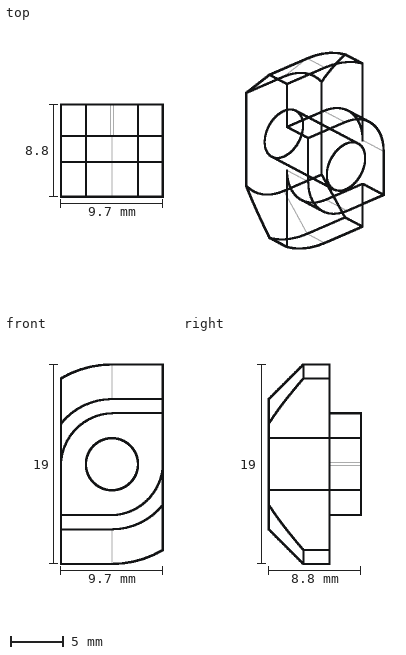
import cadquery as cq

width = 9.7
length = 19.0
depth = 8.8

boss_depth = 3.0
boss_corner_radius = 5.0
bevel = 3.3
bore_diameter = 4.94

half_width = width / 2
half_length = length / 2
head_depth = depth - boss_depth
front_half_length = half_length - bevel


def half_head_section(plane):
    """Half of the head's bevelled section, with Y = 0 on the front face."""
    return (
        cq.Workplane(plane)
        .moveTo(0, 0)
        .lineTo(front_half_length, 0)
        .lineTo(half_length, bevel)
        .lineTo(half_length, head_depth)
        .lineTo(0, head_depth)
        .close()
    )


def make_square_quarter():
    """Upper right quarter of the head, with a flat bevelled end."""
    section_plane = cq.Plane(origin=(0, 0, 0), xDir=(0, 0, 1), normal=(1, 0, 0))
    return half_head_section(section_plane).extrude(half_width).mirror("XZ")


def make_round_quarter():
    """Upper left quarter of the head, with a conical bevelled end."""
    turned = half_head_section("XY").revolve(360, (0, 0, 0), (0, 1, 0))
    quarter_space = cq.Workplane("XY").box(
        half_width, head_depth, half_length, centered=False
    ).translate((-half_width, 0, 0))
    return turned.intersect(quarter_space)


def make_head():
    upper_half = make_square_quarter().union(make_round_quarter())
    lower_half = upper_half.rotate((0, 0, 0), (0, 1, 0), 180)
    return upper_half.union(lower_half)


def make_boss():
    """Square boss on the back, rounded on the same two corners as the head."""
    return (
        cq.Workplane("XZ", origin=(0, depth, 0))
        .moveTo(-half_width, -half_width)
        .lineTo(-half_width, half_width - boss_corner_radius)
        .radiusArc((boss_corner_radius - half_width, half_width), boss_corner_radius)
        .lineTo(half_width, half_width)
        .lineTo(half_width, boss_corner_radius - half_width)
        .radiusArc((half_width - boss_corner_radius, -half_width), boss_corner_radius)
        .close()
        .extrude(boss_depth)
    )


bore = cq.Workplane("XZ").circle(bore_diameter / 2).extrude(-depth)

result = make_head().union(make_boss()).cut(bore)